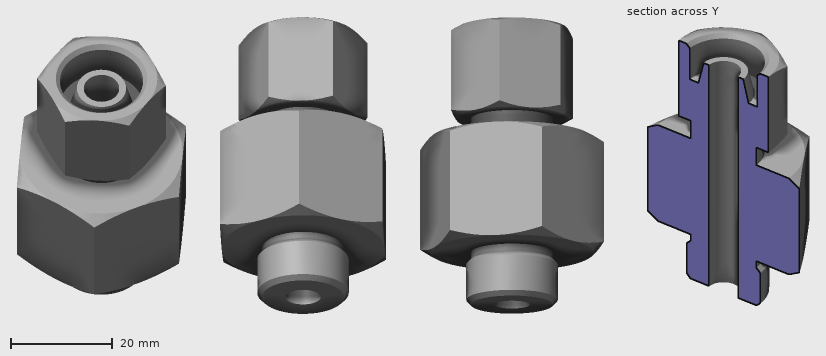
import cadquery as cq
import math

total_height = 55.5
nut_bottom = 37.45
body_top = 33.4
body_bottom = 10.5

nut_across_flats = 22.0
body_across_flats = 32.0
hex_chamfer_angle = 30.0

neck_diameter = 16.15
thread_diameter = 18.05
thread_chamfer = (thread_diameter - neck_diameter) / 2
thread_top = 8.1

socket_mouth_diameter = 18.0
socket_diameter = 16.4
socket_floor = 47.35
cone_tip = 52.55
cone_tip_diameter = 9.7
cone_base_diameter = 12.3
bore_diameter = 7.0


def revolve_profile(points):
    """Revolve a closed (radius, height) outline about the Z axis."""
    return cq.Workplane("XZ").polyline(points).close().revolve(360, (0, 0), (0, 1))


def chamfered_hexagon(across_flats, bottom, top, rotation):
    """Hexagonal prism whose corners are turned off conically at both ends."""
    flat_radius = across_flats / 2
    corner_radius = flat_radius / math.cos(math.radians(30))
    corner_drop = (corner_radius - flat_radius) * math.tan(math.radians(hex_chamfer_angle))
    prism = (
        cq.Workplane("XY", origin=(0, 0, bottom))
        .polygon(6, 2 * corner_radius)
        .extrude(top - bottom)
        .rotate((0, 0, 0), (0, 0, 1), rotation)
    )
    turned_envelope = revolve_profile([
        (0, bottom),
        (flat_radius, bottom),
        (corner_radius, bottom + corner_drop),
        (corner_radius, top - corner_drop),
        (flat_radius, top),
        (0, top),
    ])
    return prism.intersect(turned_envelope)


def stem():
    """Chamfered thread and the narrower neck that runs up into the nut."""
    neck_radius = neck_diameter / 2
    thread_radius = thread_diameter / 2
    return revolve_profile([
        (0, 0),
        (thread_radius - thread_chamfer, 0),
        (thread_radius, thread_chamfer),
        (thread_radius, thread_top),
        (neck_radius, thread_top + thread_chamfer),
        (neck_radius, nut_bottom),
        (0, nut_bottom),
    ])


def socket_space():
    """Open space in the nut, around and above the sealing cone."""
    mouth_radius = socket_mouth_diameter / 2
    socket_radius = socket_diameter / 2
    tip_radius = cone_tip_diameter / 2
    cone_base_radius = cone_base_diameter / 2
    return revolve_profile([
        (0, cone_tip),
        (tip_radius, cone_tip),
        (cone_base_radius, socket_floor),
        (socket_radius, socket_floor),
        (socket_radius, total_height - (mouth_radius - socket_radius)),
        (mouth_radius, total_height),
        (0, total_height),
    ])


body = chamfered_hexagon(body_across_flats, body_bottom, body_top, 0)
nut = chamfered_hexagon(nut_across_flats, nut_bottom, total_height, 30)
through_bore = cq.Workplane("XY").circle(bore_diameter / 2).extrude(total_height)

result = stem().union(body).union(nut).cut(socket_space()).cut(through_bore)